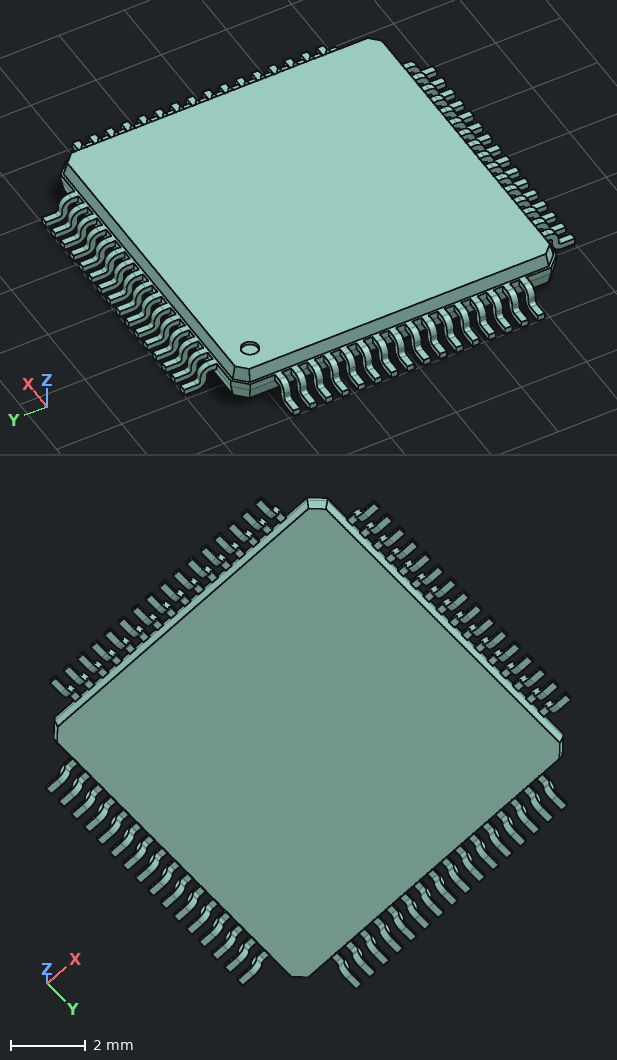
import cadquery as cq
import math

BODY_WIDTH = 10.0
CORNER_CHAMFER = 0.38
STANDOFF = 0.1
TOP_Z = 1.1
LEDGE_WIDTH = 0.075
DRAFT_INSET = 0.09
UPPER_BASE_WIDTH = BODY_WIDTH - 2 * LEDGE_WIDTH
TOP_WIDTH = UPPER_BASE_WIDTH - 2 * DRAFT_INSET
BOTTOM_WIDTH = BODY_WIDTH - 2 * DRAFT_INSET

LEAD_SPAN = 12.0
LEADS_PER_SIDE = 16
LEAD_PITCH = 0.5
LEAD_WIDTH = 0.22
LEAD_THICKNESS = 0.2
LEAD_TOP_Z = 0.7
LEAD_BOTTOM_Z = LEAD_TOP_Z - LEAD_THICKNESS
INNER_BEND_RADIUS = 0.1
OUTER_BEND_RADIUS = INNER_BEND_RADIUS + LEAD_THICKNESS
SHOULDER_LENGTH = 0.2
LEAD_EMBED = 0.2

MARK_DIAMETER = 0.5
MARK_DEPTH = 0.1
MARK_OFFSET = 4.14


def body_section(width, z):
    """Square with chamfered corners, its edges offset evenly from the widest section."""
    half = width / 2
    inset = (BODY_WIDTH - width) / 2
    chamfer = CORNER_CHAMFER - inset * (2 - math.sqrt(2))
    flat = half - chamfer
    points = [
        (half, flat), (flat, half), (-flat, half), (-half, flat),
        (-half, -flat), (-flat, -half), (flat, -half), (half, -flat),
    ]
    return cq.Workplane("XY").workplane(offset=z).polyline(points).close()


def tapered_block(lower_width, lower_z, upper_width, upper_z):
    """Ruled solid between two body sections."""
    lower = body_section(lower_width, lower_z).wire().val()
    upper = body_section(upper_width, upper_z).wire().val()
    return cq.Workplane(cq.Solid.makeLoft([lower, upper], True))


def make_body():
    """Straight band at lead height between a stepped-in upper taper and a lower taper."""
    band = body_section(BODY_WIDTH, LEAD_BOTTOM_Z).extrude(LEAD_THICKNESS)
    upper = tapered_block(UPPER_BASE_WIDTH, LEAD_TOP_Z, TOP_WIDTH, TOP_Z)
    lower = tapered_block(BOTTOM_WIDTH, STANDOFF, BODY_WIDTH, LEAD_BOTTOM_Z)
    return band.union(upper).union(lower)


def cut_pin_one_mark(body):
    """Shallow round recess near the (-X, +Y) corner of the top face."""
    mark = (
        cq.Workplane("XY")
        .workplane(offset=TOP_Z - MARK_DEPTH)
        .center(-MARK_OFFSET, MARK_OFFSET)
        .circle(MARK_DIAMETER / 2)
        .extrude(MARK_DEPTH)
    )
    return body.cut(mark)


def make_lead():
    """S-shaped lead pointing to +X, centred on Y = 0."""
    root_x = BODY_WIDTH / 2 - LEAD_EMBED
    tip_x = LEAD_SPAN / 2
    upper_bend_x = BODY_WIDTH / 2 + SHOULDER_LENGTH
    upper_bend_z = LEAD_TOP_Z - OUTER_BEND_RADIUS
    lower_bend_x = upper_bend_x + INNER_BEND_RADIUS + OUTER_BEND_RADIUS
    lower_bend_z = OUTER_BEND_RADIUS
    web_inner_x = upper_bend_x + INNER_BEND_RADIUS
    web_outer_x = upper_bend_x + OUTER_BEND_RADIUS
    diagonal = math.sqrt(0.5)
    inner_diagonal = INNER_BEND_RADIUS * diagonal
    outer_diagonal = OUTER_BEND_RADIUS * diagonal
    profile = (
        cq.Workplane("XZ")
        .moveTo(root_x, LEAD_TOP_Z)
        .lineTo(upper_bend_x, LEAD_TOP_Z)
        .threePointArc(
            (upper_bend_x + outer_diagonal, upper_bend_z + outer_diagonal),
            (web_outer_x, upper_bend_z),
        )
        .lineTo(web_outer_x, lower_bend_z)
        .threePointArc(
            (lower_bend_x - inner_diagonal, lower_bend_z - inner_diagonal),
            (lower_bend_x, LEAD_THICKNESS),
        )
        .lineTo(tip_x, LEAD_THICKNESS)
        .lineTo(tip_x, 0)
        .lineTo(lower_bend_x, 0)
        .threePointArc(
            (lower_bend_x - outer_diagonal, lower_bend_z - outer_diagonal),
            (web_inner_x, lower_bend_z),
        )
        .lineTo(web_inner_x, upper_bend_z)
        .threePointArc(
            (upper_bend_x + inner_diagonal, upper_bend_z + inner_diagonal),
            (upper_bend_x, LEAD_BOTTOM_Z),
        )
        .lineTo(root_x, LEAD_BOTTOM_Z)
        .close()
    )
    return profile.extrude(LEAD_WIDTH / 2, both=True)


def make_all_leads():
    """One evenly spaced row of leads on each of the four sides."""
    lead = make_lead().val()
    first_y = -LEAD_PITCH * (LEADS_PER_SIDE - 1) / 2
    leads = []
    for side_angle in (0, 90, 180, 270):
        for index in range(LEADS_PER_SIDE):
            placed = lead.translate(cq.Vector(0, first_y + index * LEAD_PITCH, 0))
            leads.append(placed.rotate(cq.Vector(0, 0, 0), cq.Vector(0, 0, 1), side_angle))
    return leads


body = cut_pin_one_mark(make_body())
result = cq.Workplane(body.val().fuse(*make_all_leads())).clean()